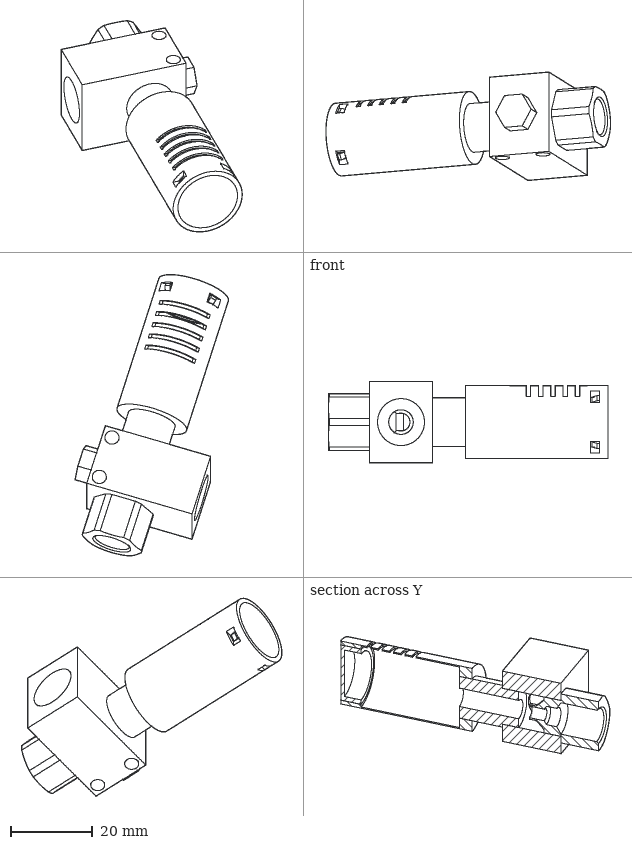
import cadquery as cq
import math

BLOCK_LENGTH = 15.6
BLOCK_DEPTH = 27.0
BLOCK_HEIGHT = 20.0
AXIS_TO_BACK = 9.5
INLET_LENGTH = 10.0
STEM_EXPOSED = 8.0
OVERALL_LENGTH = 68.6

CENTRE_X = BLOCK_LENGTH / 2
BACK_Y = AXIS_TO_BACK
FRONT_Y = BACK_Y - BLOCK_DEPTH
MUFFLER_X = BLOCK_LENGTH + STEM_EXPOSED
END_X = OVERALL_LENGTH - INLET_LENGTH

DRILL_POINT_ANGLE = 118.0

MAIN_BORE_RADIUS = 5.0
PORT_RADIUS = 5.75
PORT_DEPTH = 10.0
PORT_PASSAGE_RADIUS = 3.0
MOUNT_HOLE_RADIUS = 1.7
MOUNT_HOLE_SPACING = 10.6
MOUNT_HOLE_TO_BACK = 2.5

INLET_FLATS = 14.0
INLET_CORNER_RADIUS = 7.6
INLET_FACE_RADIUS = 6.9
INLET_CHAMFER_DEPTH = 0.2
INLET_BORE_RADIUS = 4.4
INLET_MOUTH_RADIUS = 4.9
THROAT_RADIUS = 2.55
THROAT_LENGTH = 2.75
NOZZLE_BORE_RADIUS = 1.6
NOZZLE_TIP_RADIUS = 2.1
NOZZLE_TIP_X = CENTRE_X + 0.6
NOZZLE_SHOULDER_X = CENTRE_X - 1.2
NOSE_BASE_RADIUS = 4.1
INLET_BORE_END_X = 0.0

STEM_DIAMETER = 12.0
STEM_RADIUS = STEM_DIAMETER / 2
STEM_BORE_RADIUS = 2.55
STEM_START_X = CENTRE_X + 3.4

MUFFLER_RADIUS = 9.0
MUFFLER_BORE_RADIUS = 8.5
MUFFLER_FRONT_WALL = 3.4
CAP_SEAT_RADIUS = 7.75
CAP_SEAT_LENGTH = 5.5
CAP_SEAT_X = END_X - CAP_SEAT_LENGTH
SLOT_COUNT = 5
SLOT_PITCH = 3.0
SLOT_WIDTH = 1.0
SLOT_FLOOR_Z = 6.3
SLOTS_CENTRE_X = MUFFLER_X + 21.5
WINDOW_LENGTH = 2.2
WINDOW_START_X = MUFFLER_X + 30.7
WINDOW_INNER_EDGE = 4.8

CAP_DISC_THICKNESS = 1.0
CAP_SKIRT_BORE_RADIUS = 6.5
LUG_TOP_RADIUS = 8.3
LUG_WIDTH = 1.8
LUG_RAMP_GAP = 0.3
LUG_LAND_LENGTH = 0.6
LUG_ANGLES = (45, 135, 225, 315)

PLUG_FLATS = 8.0
PLUG_HEAD_LENGTH = 4.0
PLUG_SHANK_RADIUS = 2.2
PLUG_END_Y = 4.8


def across_corners(flats):
    """Corner-to-corner width of a hexagon, from its width across flats."""
    return flats / math.cos(math.radians(30))


def drill_point_length(radius):
    """Length of a drill-point cone that narrows by the given radius."""
    return radius / math.tan(math.radians(DRILL_POINT_ANGLE / 2))


def x_cylinder(start, end, radius):
    return cq.Workplane("YZ", origin=(start, 0, 0)).circle(radius).extrude(end - start)


def turned(profile):
    """Revolve a closed (x, radius) profile about the X axis."""
    return cq.Workplane("XY").polyline(profile).close().revolve(360, (0, 0, 0), (1, 0, 0))


def y_cylinder(radius, start, end):
    plane = cq.Plane(origin=(CENTRE_X, start, 0), xDir=(1, 0, 0), normal=(0, 1, 0))
    return cq.Workplane(plane).circle(radius).extrude(end - start)


def vacuum_port():
    """Blind port with a drill-point bottom and a narrower passage to the main bore."""
    bottom_y = FRONT_Y + PORT_DEPTH
    profile = [
        (0, FRONT_Y),
        (PORT_RADIUS, FRONT_Y),
        (PORT_RADIUS, bottom_y),
        (0, bottom_y + drill_point_length(PORT_RADIUS)),
    ]
    drilled = cq.Workplane("XY").polyline(profile).close().revolve(360, (0, 0, 0), (0, 1, 0))
    return drilled.translate((CENTRE_X, 0, 0)).union(y_cylinder(PORT_PASSAGE_RADIUS, FRONT_Y, 0))


def make_block():
    block = cq.Workplane("XY").box(BLOCK_LENGTH, BLOCK_DEPTH, BLOCK_HEIGHT)
    block = block.translate((CENTRE_X, (FRONT_Y + BACK_Y) / 2, 0))
    block = block.cut(x_cylinder(0, BLOCK_LENGTH, MAIN_BORE_RADIUS))
    block = block.cut(vacuum_port())
    block = block.cut(y_cylinder(PLUG_SHANK_RADIUS, 0, BACK_Y))
    mount_holes = (
        cq.Workplane("XY", origin=(CENTRE_X, BACK_Y - MOUNT_HOLE_TO_BACK, -BLOCK_HEIGHT / 2))
        .pushPoints([(-MOUNT_HOLE_SPACING / 2, 0), (MOUNT_HOLE_SPACING / 2, 0)])
        .circle(MOUNT_HOLE_RADIUS)
        .extrude(BLOCK_HEIGHT)
    )
    return block.cut(mount_holes)


def make_inlet_fitting():
    hexagon = (
        cq.Workplane("YZ", origin=(-INLET_LENGTH, 0, 0))
        .polygon(6, across_corners(INLET_FLATS))
        .extrude(INLET_LENGTH)
    )
    rounding = turned([
        (-INLET_LENGTH, 0),
        (-INLET_LENGTH, INLET_FACE_RADIUS),
        (-INLET_LENGTH + INLET_CHAMFER_DEPTH, INLET_CORNER_RADIUS),
        (0, INLET_CORNER_RADIUS),
        (0, 0),
    ])
    nose_base_x = NOZZLE_SHOULDER_X - (NOSE_BASE_RADIUS - NOZZLE_TIP_RADIUS)
    shank = turned([
        (0, 0),
        (0, MAIN_BORE_RADIUS),
        (nose_base_x, MAIN_BORE_RADIUS),
        (nose_base_x, NOSE_BASE_RADIUS),
        (NOZZLE_SHOULDER_X, NOZZLE_TIP_RADIUS),
        (NOZZLE_TIP_X, NOZZLE_TIP_RADIUS),
        (NOZZLE_TIP_X, 0),
    ])
    mouth_depth = INLET_MOUTH_RADIUS - INLET_BORE_RADIUS
    throat_start_x = INLET_BORE_END_X + drill_point_length(INLET_BORE_RADIUS - THROAT_RADIUS)
    throat_end_x = throat_start_x + THROAT_LENGTH
    nozzle_bore_x = throat_end_x + drill_point_length(THROAT_RADIUS - NOZZLE_BORE_RADIUS)
    passage = turned([
        (-INLET_LENGTH, 0),
        (-INLET_LENGTH, INLET_MOUTH_RADIUS),
        (-INLET_LENGTH + mouth_depth, INLET_BORE_RADIUS),
        (INLET_BORE_END_X, INLET_BORE_RADIUS),
        (throat_start_x, THROAT_RADIUS),
        (throat_end_x, THROAT_RADIUS),
        (nozzle_bore_x, NOZZLE_BORE_RADIUS),
        (NOZZLE_TIP_X, NOZZLE_BORE_RADIUS),
        (NOZZLE_TIP_X, 0),
    ])
    return hexagon.intersect(rounding).union(shank).cut(passage)


def make_stem():
    stem_end_x = MUFFLER_X + MUFFLER_FRONT_WALL
    shank = x_cylinder(STEM_START_X, BLOCK_LENGTH, MAIN_BORE_RADIUS)
    body = x_cylinder(BLOCK_LENGTH, stem_end_x, STEM_RADIUS)
    return shank.union(body).cut(x_cylinder(STEM_START_X, stem_end_x, STEM_BORE_RADIUS))


def muffler_slots():
    first_x = SLOTS_CENTRE_X - SLOT_PITCH * (SLOT_COUNT - 1) / 2
    centres = [(first_x + SLOT_PITCH * i, 0) for i in range(SLOT_COUNT)]
    return (
        cq.Workplane("XY", origin=(0, 0, SLOT_FLOOR_Z))
        .pushPoints(centres)
        .rect(SLOT_WIDTH, 2 * MUFFLER_RADIUS)
        .extrude(MUFFLER_RADIUS)
    )


def muffler_windows():
    """Square notches through the wall on the four diagonals."""
    size = MUFFLER_RADIUS - WINDOW_INNER_EDGE
    offset = WINDOW_INNER_EDGE + size / 2
    corners = [(sy * offset, sz * offset) for sy in (-1, 1) for sz in (-1, 1)]
    return (
        cq.Workplane("YZ", origin=(WINDOW_START_X, 0, 0))
        .pushPoints(corners)
        .rect(size, size)
        .extrude(WINDOW_LENGTH)
    )


def make_muffler():
    muffler = x_cylinder(MUFFLER_X, END_X, MUFFLER_RADIUS)
    muffler = muffler.cut(x_cylinder(MUFFLER_X, END_X, STEM_RADIUS))
    muffler = muffler.cut(x_cylinder(MUFFLER_X + MUFFLER_FRONT_WALL, CAP_SEAT_X, MUFFLER_BORE_RADIUS))
    muffler = muffler.cut(x_cylinder(CAP_SEAT_X, END_X, CAP_SEAT_RADIUS))
    return muffler.cut(muffler_slots()).cut(muffler_windows())


def cap_lug(angle):
    """Snap lug with a ramp up to a flat land that stops against the end of a window."""
    window_end_x = WINDOW_START_X + WINDOW_LENGTH
    profile = [
        (WINDOW_START_X + LUG_RAMP_GAP, CAP_SKIRT_BORE_RADIUS),
        (WINDOW_START_X + LUG_RAMP_GAP, CAP_SEAT_RADIUS),
        (window_end_x - LUG_LAND_LENGTH, LUG_TOP_RADIUS),
        (window_end_x, LUG_TOP_RADIUS),
        (window_end_x, CAP_SKIRT_BORE_RADIUS),
    ]
    lug = cq.Workplane("XY").polyline(profile).close().extrude(LUG_WIDTH / 2, both=True)
    return lug.rotate((0, 0, 0), (1, 0, 0), angle)


def make_end_cap():
    """Closed cup filling the muffler seat, with one snap lug in each window."""
    cap = x_cylinder(CAP_SEAT_X, END_X, CAP_SEAT_RADIUS)
    for angle in LUG_ANGLES:
        cap = cap.union(cap_lug(angle))
    return cap.cut(x_cylinder(CAP_SEAT_X, END_X - CAP_DISC_THICKNESS, CAP_SKIRT_BORE_RADIUS))


def make_rear_plug():
    back_plane = cq.Plane(origin=(CENTRE_X, BACK_Y, 0), xDir=(1, 0, 0), normal=(0, 1, 0))
    head = cq.Workplane(back_plane).polygon(6, across_corners(PLUG_FLATS)).extrude(PLUG_HEAD_LENGTH)
    return head.union(y_cylinder(PLUG_SHANK_RADIUS, PLUG_END_Y, BACK_Y))


block = make_block()
inlet_fitting = make_inlet_fitting()
stem = make_stem()
muffler = make_muffler()
end_cap = make_end_cap()
rear_plug = make_rear_plug()

result = cq.Compound.makeCompound([
    block.val(),
    inlet_fitting.val(),
    stem.val(),
    muffler.val(),
    end_cap.val(),
    rear_plug.val(),
])